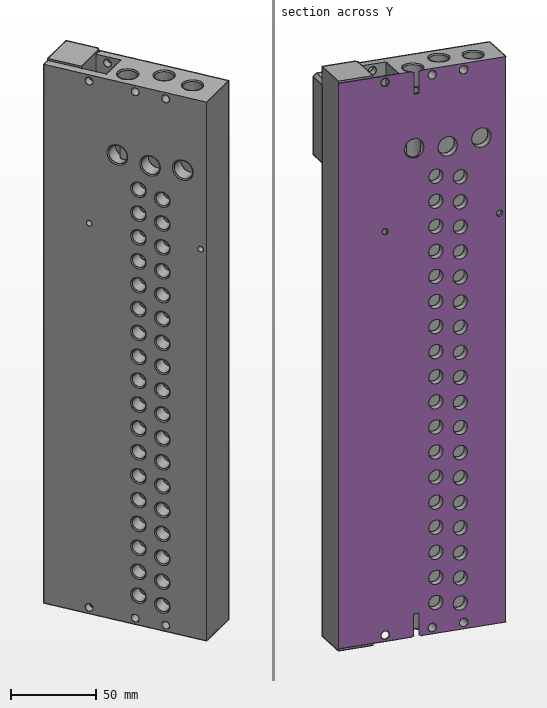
import cadquery as cq


UP = (0, 0, 1)
DOWN = (0, 0, -1)
BACKWARD = (0, 1, 0)

body_width = 106.7
body_depth = 29.8
total_height = 363.0
strip_overhang = 1.27
body_height = total_height - 2 * strip_overhang

front_wall = 5.5
strip_width = 22.0
strip_back = 30.0
strip_corner = 1.5
duct_right = 38.5
duct_back = 24.7

supply_bores = [(49.7, 11.0, 9.0), (69.7, 19.0, 8.5), (90.0, 15.2, 10.5)]
counterbore_diameter = 11.5
counterbore_depth = 14.5
mouth_chamfer = 0.7

port_depth = 9.8
main_port_diameter = 12.0
main_ports = [(48.3, 131.0), (69.7, 129.0), (91.0, 131.0)]
valve_port_diameter = 8.7
valve_port_pitch = 16.0
valve_port_count = 18
valve_columns = [(62.0, 111.0), (77.7, 108.0)]

mount_hole_diameter = 5.0
mount_hole_x = [29.8, 60.0, 80.0]
mount_hole_z = 176.0
pin_hole_diameter = 3.5
pin_hole_depth = 7.3
pin_holes = [(29.8, 81.0), (102.7, 81.0)]

box_left = 0.5
box_right = 85.3
box_back = 44.5
box_bottom = 117.5
box_top = 171.5
box_chamfer = 2.0

connector_x = 25.8
connector_z = 141.2
pad_width = 18.0
pad_bottom = 126.0
pad_top = 162.0
pad_thickness = 1.0
plug_diameter = 12.5
collar_base_diameter = 17.8
collar_top_diameter = plug_diameter
collar_height = 1.8
plug_end = 58.5
plug_chamfer = 1.0


def block(x_range, y_range, z_range):
    """Box spanning the given limits along each axis."""
    limits = (x_range, y_range, z_range)
    size = [high - low for low, high in limits]
    corner = tuple(low for low, high in limits)
    return cq.Workplane("XY").box(*size, centered=False).translate(corner)


def rod(start, direction, diameter, length):
    """Round bar from a start point along a direction."""
    solid = cq.Solid.makeCylinder(diameter / 2, length, cq.Vector(*start), cq.Vector(*direction))
    return cq.Workplane(obj=solid)


def cone(start, direction, start_diameter, end_diameter, length):
    """Truncated cone from a start point along a direction."""
    solid = cq.Solid.makeCone(
        start_diameter / 2, end_diameter / 2, length, cq.Vector(*start), cq.Vector(*direction)
    )
    return cq.Workplane(obj=solid)


def bevelled_hole(start, direction, diameter, depth):
    """Cutter for a flat-bottomed hole with a bevelled mouth."""
    bevel = cone(start, direction, diameter + 2 * mouth_chamfer, diameter, mouth_chamfer)
    return rod(start, direction, diameter, depth).union(bevel)


def make_body():
    half = body_height / 2
    body = block((0, body_width), (0, body_depth), (-half, half))
    duct = block((strip_width, duct_right), (front_wall, duct_back), (-half, half))
    strip_half = total_height / 2
    strip = block((0, strip_width), (front_wall, strip_back), (-strip_half, strip_half))
    strip = strip.edges("|Z and >X and >Y").chamfer(strip_corner)
    seat = block((0, strip_width), (front_wall, body_depth), (-half, half))
    return body.cut(duct).cut(seat).union(strip)


def cut_supply_bores(body):
    """Run each bore through the full height, counterbored at both ends."""
    half = body_height / 2
    for x, y, diameter in supply_bores:
        body = body.cut(rod((x, y, -half), UP, diameter, body_height))
        body = body.cut(bevelled_hole((x, y, -half), UP, counterbore_diameter, counterbore_depth))
        body = body.cut(bevelled_hole((x, y, half), DOWN, counterbore_diameter, counterbore_depth))
    return body


def cut_ports(body, points, diameter):
    """Sink bevelled ports at (x, z) points into the front face."""
    for x, z in points:
        body = body.cut(bevelled_hole((x, 0, z), BACKWARD, diameter, port_depth))
    return body


def drill_front(body, points, diameter, depth):
    """Drill plain holes at (x, z) points from the front face."""
    for x, z in points:
        body = body.cut(rod((x, 0, z), BACKWARD, diameter, depth))
    return body


def make_box():
    box = block((box_left, box_right), (body_depth, box_back), (box_bottom, box_top))
    return box.edges("|Y").chamfer(box_chamfer)


def make_connector():
    half_pad = pad_width / 2
    pad_back = box_back + pad_thickness
    pad = block((connector_x - half_pad, connector_x + half_pad), (box_back, pad_back), (pad_bottom, pad_top))
    base = (connector_x, pad_back, connector_z)
    collar = cone(base, BACKWARD, collar_base_diameter, collar_top_diameter, collar_height)
    plug = rod(base, BACKWARD, plug_diameter, plug_end - pad_back)
    plug = plug.faces(">Y").chamfer(plug_chamfer)
    return pad.union(collar).union(plug)


valve_ports = [
    (x, top_z - i * valve_port_pitch) for x, top_z in valve_columns for i in range(valve_port_count)
]
mount_holes = [(x, z) for x in mount_hole_x for z in (-mount_hole_z, mount_hole_z)]

result = make_body()
result = cut_supply_bores(result)
result = cut_ports(result, main_ports, main_port_diameter)
result = cut_ports(result, valve_ports, valve_port_diameter)
result = drill_front(result, mount_holes, mount_hole_diameter, body_depth)
result = drill_front(result, pin_holes, pin_hole_diameter, pin_hole_depth)
result = result.union(make_box()).union(make_connector())